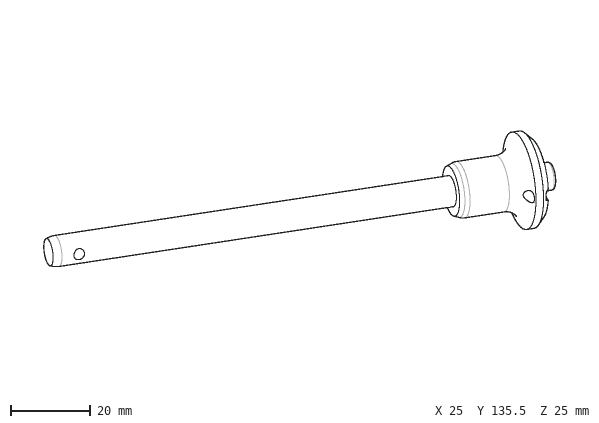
import cadquery as cq
import math


total_length = 135.5
shank_length = 108.4

shank_radius = 4.0
tip_radius = 3.5
tip_length = 2.2

flange_radius = 12.5
flange_top_radius = 10.5
flange_rim_height = 2.05
flange_bevel_height = 2.05
neck_radius = 7.25
neck_end_radius = 6.45
collar_length = 1.25
neck_rounding_length = 1.25
neck_rounding_radius = 2.5
neck_straight_end = 13.1

button_radius = 3.6
button_edge_radius = 0.6

ball_radius = 1.6
ball_reach = 4.85
ball_distance_from_tip = 6.85

lanyard_hole_diameter = 3.2
lanyard_hole_offset = 10.0

tip_end = -shank_length
button_end = total_length - shank_length
cove_radius = flange_radius - neck_radius
flange_bottom = neck_straight_end + cove_radius
flange_rim_top = flange_bottom + flange_rim_height
flange_top = flange_rim_top + flange_bevel_height
neck_rounding_start = collar_length + neck_rounding_length
collar_radius = neck_radius - neck_rounding_radius + math.sqrt(
    neck_rounding_radius**2 - neck_rounding_length**2
)


def revolve_about_y(profile):
    """Close a half profile and turn it into a solid of revolution about Y."""
    return profile.close().revolve(360, (0, 0, 0), (0, 1, 0))


def make_shank():
    """Round shank whose tip narrows along an arc tangent to its side."""
    profile = (
        cq.Workplane("XY")
        .moveTo(0, 0)
        .lineTo(shank_radius, 0)
        .lineTo(shank_radius, tip_end + tip_length)
        .tangentArcPoint((tip_radius, tip_end), relative=False)
        .lineTo(0, tip_end)
    )
    return revolve_about_y(profile)


def make_handle():
    """Neck that flares through a quarter-circle cove into a bevelled flange."""
    profile = (
        cq.Workplane("XY")
        .moveTo(0, flange_top)
        .lineTo(flange_top_radius, flange_top)
        .lineTo(flange_radius, flange_rim_top)
        .lineTo(flange_radius, flange_bottom)
        .radiusArc((neck_radius, neck_straight_end), -cove_radius)
        .lineTo(neck_radius, neck_rounding_start)
        .tangentArcPoint((collar_radius, collar_length), relative=False)
        .lineTo(neck_end_radius, 0)
        .lineTo(0, 0)
    )
    return revolve_about_y(profile)


def make_button():
    """Push button standing out of the flange, with a rounded outer edge."""
    height = button_end - flange_top
    button = cq.Workplane("XZ", origin=(0, flange_top, 0)).circle(button_radius).extrude(-height)
    return button.faces(">Y").edges().fillet(button_edge_radius)


def make_ball(side):
    """Locking ball on the +X (side = 1) or -X (side = -1) flank of the shank."""
    ball_centre = side * (ball_reach - ball_radius)
    return cq.Workplane("XY").sphere(ball_radius).translate(
        (ball_centre, tip_end + ball_distance_from_tip, 0)
    )


def make_lanyard_hole():
    """Cutter along Y, longer than the handle so it passes right through."""
    return (
        cq.Workplane("XZ", origin=(lanyard_hole_offset, 0, 0))
        .circle(lanyard_hole_diameter / 2)
        .extrude(-button_end)
    )


result = make_handle().cut(make_lanyard_hole()).union(make_shank()).union(make_button())
for flank in (-1, 1):
    result = result.union(make_ball(flank))